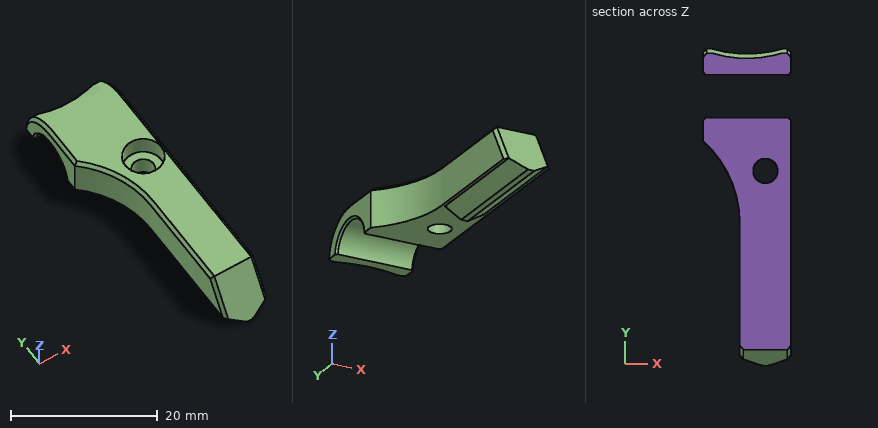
import cadquery as cq
import math

body_height = 6.0
edge_chamfer = 0.5

hook_width = 12.0
hook_axis_z = -0.5
hook_radius = body_height - hook_axis_z
bore_radius = 4.0
bore_chamfer = 0.3

arm_width = 7.0
neck_radius = 15.0
neck_end_y = -17.28
tip_y = -36.67
tip_slant = math.radians(30)

keel_height = 1.5
keel_top_width = arm_width - 2 * edge_chamfer
keel_bottom_width = 1.0

screw_y = -10.15
screw_diameter = 3.3
counterbore_diameter = 5.8
counterbore_depth = 3.0

saddle_radius = 17.0
saddle_start_y = -10.3
saddle_tilt = math.radians(2.2)
saddle_bend_radius = 6.05
saddle_bend_degrees = 110.0

arm_right_x = arm_width / 2
arm_left_x = -arm_width / 2
hook_left_x = arm_right_x - hook_width
hook_middle_x = arm_right_x - hook_width / 2
hook_end_y = math.sqrt(hook_radius**2 - hook_axis_z**2)


def tip_y_at(z):
    """Y of the slanted end face at height z."""
    return tip_y + (z + keel_height) * math.tan(tip_slant)


def make_side_profile():
    """Rounded hook end, flat top and slanted tip, extruded across the full width."""
    diagonal = hook_radius / math.sqrt(2)
    arc_middle = (diagonal, hook_axis_z + diagonal)
    return (
        cq.Workplane("YZ", origin=(hook_left_x, 0, 0))
        .moveTo(tip_y_at(0), 0)
        .lineTo(hook_end_y, 0)
        .threePointArc(arc_middle, (0, body_height))
        .lineTo(tip_y_at(body_height), body_height)
        .close()
        .extrude(hook_width)
    )


def make_plan():
    """Wide hook narrowing to the arm along an arc that is tangent to the arm."""
    neck_step = arm_left_x - hook_left_x
    neck_angle = math.acos(1 - neck_step / neck_radius)
    neck_center_x = arm_left_x - neck_radius

    def neck_point(angle):
        return (
            neck_center_x + neck_radius * math.cos(angle),
            neck_end_y + neck_radius * math.sin(angle),
        )

    return (
        cq.Workplane("XY")
        .moveTo(arm_right_x, tip_y)
        .lineTo(arm_right_x, hook_end_y)
        .lineTo(hook_left_x, hook_end_y)
        .lineTo(*neck_point(neck_angle))
        .threePointArc(neck_point(neck_angle / 2), neck_point(0))
        .lineTo(arm_left_x, tip_y)
        .close()
        .extrude(body_height)
    )


def make_body():
    """Hook and arm in one piece, chamfered along both sides except at the underside."""
    body = make_side_profile().intersect(make_plan())
    return body.edges("not(|X or |Z or <Z)").chamfer(edge_chamfer)


def make_keel():
    """Tapered rib below the arm, cut off in the plane of the slanted tip."""
    rib = (
        cq.Workplane("XZ", origin=(0, neck_end_y, 0))
        .moveTo(-keel_top_width / 2, 0)
        .lineTo(keel_top_width / 2, 0)
        .lineTo(keel_bottom_width / 2, -keel_height)
        .lineTo(-keel_bottom_width / 2, -keel_height)
        .close()
        .extrude(neck_end_y - tip_y)
    )
    slanted_block = (
        cq.Workplane("YZ")
        .moveTo(neck_end_y, 0)
        .lineTo(tip_y_at(0), 0)
        .lineTo(tip_y, -keel_height)
        .lineTo(neck_end_y, -keel_height)
        .close()
        .extrude(keel_top_width / 2, both=True)
    )
    return rib.intersect(slanted_block)


def make_bore():
    """Rod bore along X, flared by a chamfer at each side of the hook."""
    flare_radius = bore_radius + bore_chamfer
    return (
        cq.Workplane("XY", origin=(0, 0, hook_axis_z))
        .moveTo(hook_left_x, 0)
        .lineTo(hook_left_x, flare_radius)
        .lineTo(hook_left_x + bore_chamfer, bore_radius)
        .lineTo(arm_right_x - bore_chamfer, bore_radius)
        .lineTo(arm_right_x, flare_radius)
        .lineTo(arm_right_x, 0)
        .close()
        .revolve(360, (0, 0, 0), (1, 0, 0))
    )


def make_saddle():
    """Straight tilted cylinder followed by the same circle swept around the hook."""
    bottom_z = body_height + saddle_start_y * math.tan(saddle_tilt)
    bend_start = cq.Vector(hook_middle_x, 0, bottom_z)
    toward_tip = cq.Vector(0, -math.cos(saddle_tilt), math.sin(saddle_tilt))
    outward = cq.Vector(0, math.sin(saddle_tilt), math.cos(saddle_tilt))
    section = cq.Plane(
        origin=bend_start + outward * saddle_radius,
        xDir=(1, 0, 0),
        normal=toward_tip,
    )

    straight = cq.Workplane(section).circle(saddle_radius).extrude(2 * abs(saddle_start_y))

    bend_axis_offset = -(saddle_radius + saddle_bend_radius)
    bend = (
        cq.Workplane(section)
        .circle(saddle_radius)
        .revolve(saddle_bend_degrees, (0, bend_axis_offset), (-1, bend_axis_offset))
    )
    return straight, bend


def cut_screw_hole(part):
    """Counterbored through hole in the middle of the arm."""
    return (
        part.copyWorkplane(cq.Workplane("XY", origin=(0, screw_y, body_height)))
        .cboreHole(screw_diameter, counterbore_diameter, counterbore_depth)
    )


result = make_body().union(make_keel()).cut(make_bore())
for saddle_piece in make_saddle():
    result = result.cut(saddle_piece)
result = cut_screw_hole(result)